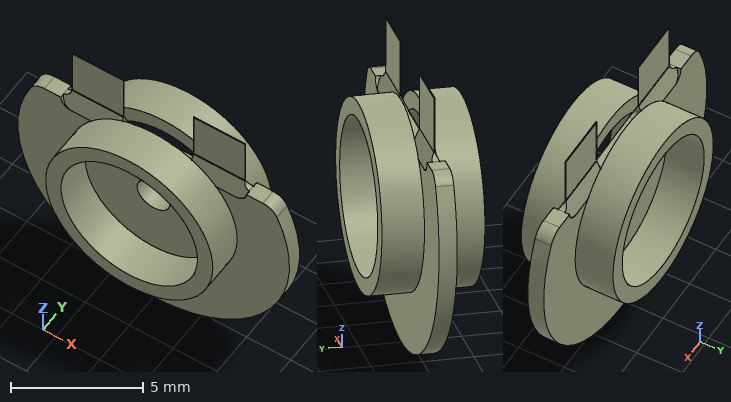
import cadquery as cq

plate_radius = 6.18
plate_thickness = 0.7
center_hole_diameter = 1.5
shoulder_z = 3.0
shoulder_radius = 0.7

tab_top_z = 5.5
tab_outer_x = 3.93
tab_inner_x = 1.58
tab_thickness = 0.04
tab_root_radius = 0.28
notch_floor_z = 2.73
notch_corner_radius = 0.22

taper_bottom_z = 2.52
taper_top_z = 3.28
taper_half_length = tab_outer_x + tab_root_radius
taper_corner_radius = shoulder_z - taper_bottom_z

ring_outer_diameter = 7.6
ring_inner_diameter = 6.2
overall_depth = 4.0
ring_depth = (overall_depth - plate_thickness) / 2


def centered_block(half_width, bottom_z, top_z):
    """Block as thick as the plate, centered on X = 0 and Y = 0."""
    height = top_z - bottom_z
    block = cq.Workplane("XY").box(2 * half_width, plate_thickness, height)
    return block.translate((0, 0, bottom_z + height / 2))


def centered_cylinder(radius):
    """Cylinder around the Y axis, as thick as the plate and centered on Y = 0."""
    return cq.Workplane("XZ", origin=(0, plate_thickness / 2, 0)).circle(radius).extrude(plate_thickness)


def make_disc():
    """Disc cut flat at the shoulders, with rounded shoulder corners."""
    disc = centered_cylinder(plate_radius)
    disc = disc.intersect(centered_block(plate_radius, -plate_radius, shoulder_z))
    return disc.faces(">Z").edges("|Y").fillet(shoulder_radius)


def add_tab_outline(disc):
    """Add the upright neck with root fillets, then split it into two tabs with a notch."""
    blank = disc.union(centered_block(tab_outer_x, 0, tab_top_z))
    selector_margin = 0.12
    selector_x = tab_outer_x + selector_margin
    root_edges = cq.selectors.BoxSelector(
        (-selector_x, -plate_thickness, shoulder_z - selector_margin),
        (selector_x, plate_thickness, shoulder_z + selector_margin),
    )
    blank = blank.edges("|Y").edges(root_edges).fillet(tab_root_radius)
    notch = centered_block(tab_inner_x, notch_floor_z, tab_top_z)
    notch = notch.faces("<Z").edges("|Y").fillet(notch_corner_radius)
    return blank.cut(notch)


def make_taper_cutter():
    """Material to remove on both sides of the taper and of the thin tabs."""
    pocket = centered_block(taper_half_length, taper_bottom_z, tab_top_z)
    pocket = pocket.faces("<Z").edges("|Y").fillet(taper_corner_radius)
    half_plate = plate_thickness / 2
    half_tab = tab_thickness / 2
    kept_section = (
        cq.Workplane("YZ")
        .moveTo(-half_plate, taper_bottom_z)
        .lineTo(half_plate, taper_bottom_z)
        .lineTo(half_tab, taper_top_z)
        .lineTo(half_tab, tab_top_z)
        .lineTo(-half_tab, tab_top_z)
        .lineTo(-half_tab, taper_top_z)
        .close()
        .extrude(taper_half_length, both=True)
    )
    return pocket.cut(kept_section)


def make_plate():
    """Plate with its center hole, tapered top edge and two tabs."""
    plate = add_tab_outline(make_disc()).cut(make_taper_cutter())
    return plate.cut(centered_cylinder(center_hole_diameter / 2))


def make_ring(start_y):
    """Ring around the Y axis, reaching from start_y toward +Y."""
    return (
        cq.Workplane("XZ", origin=(0, start_y, 0))
        .circle(ring_outer_diameter / 2)
        .circle(ring_inner_diameter / 2)
        .extrude(-ring_depth)
    )


plate = make_plate()
rings = [make_ring(start_y) for start_y in (-overall_depth / 2, plate_thickness / 2)]

result = cq.Compound.makeCompound([plate.solids().val(), *[ring.val() for ring in rings]])